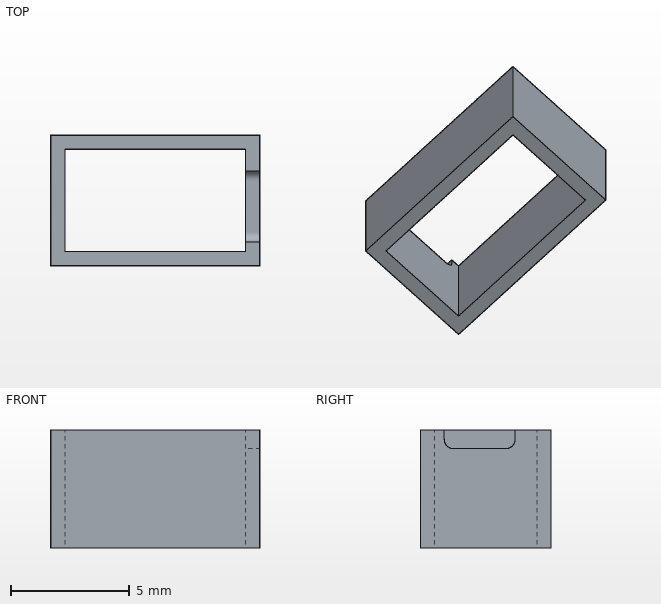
import cadquery as cq

length = 8.85
width = 5.54
height = 5.0
wall = 0.61

notch_width = 3.0
notch_depth = 0.8
notch_offset = -0.26
notch_radius = 0.4


def make_frame():
    """Rectangular tube, open at the top and bottom."""
    outer = cq.Workplane("XY").box(length, width, height)
    opening = cq.Workplane("XY").box(length - 2 * wall, width - 2 * wall, height)
    return outer.cut(opening)


def make_notch():
    """Cutter for the notch, with rounded floor corners running along X."""
    return (
        cq.Workplane("XY")
        .box(wall, notch_width, notch_depth)
        .edges("|X and <Z")
        .fillet(notch_radius)
        .translate(((length - wall) / 2, notch_offset, (height - notch_depth) / 2))
    )


result = make_frame().cut(make_notch())